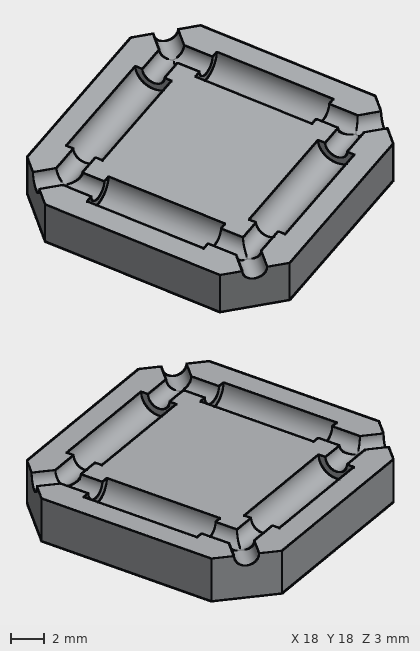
import cadquery as cq
import math

side = 18.0
thickness = 3.0
corner_cut = 3.0

channel_offset = 6.26
channel_radius = 0.75
pocket_radius = 1.25
pocket_length = 8.0


def plate():
    """Square plate with its four upright corners cut off."""
    block = cq.Workplane("XY").box(side, side, thickness, centered=(True, True, False))
    return block.edges("|Z").chamfer(corner_cut)


def top_rod(start, direction, length, radius):
    """Cylinder whose axis lies in the top face, from start along direction (both XY)."""
    base = cq.Vector(start[0], start[1], thickness)
    axis = cq.Vector(direction[0], direction[1], 0)
    return cq.Workplane(cq.Solid.makeCylinder(radius, length, base, axis))


def mitred_channel():
    """Channel along the -Y side, its ends mitred to meet the neighbouring sides."""
    rod = top_rod((-side / 2, -channel_offset), (1, 0), side, channel_radius)
    wedge = (
        cq.Workplane("XY")
        .polyline([(0, 0), (-side, -side), (side, -side)])
        .close()
        .extrude(2 * thickness)
    )
    return rod.intersect(wedge)


def pocket():
    """Wider round-bottomed pocket in the middle of the -Y side."""
    return top_rod((-pocket_length / 2, -channel_offset), (1, 0), pocket_length, pocket_radius)


def corner_outlet():
    """Diagonal channel from the -X -Y channel corner out through the cut corner."""
    corner = (-channel_offset, -channel_offset)
    length = math.sqrt(2) * (side / 2 - channel_offset)
    return top_rod(corner, (-1, -1), length, channel_radius)


result = plate()
for quarter in range(4):
    for cutter in (mitred_channel(), pocket(), corner_outlet()):
        result = result.cut(cutter.rotate((0, 0, 0), (0, 0, 1), 90 * quarter))